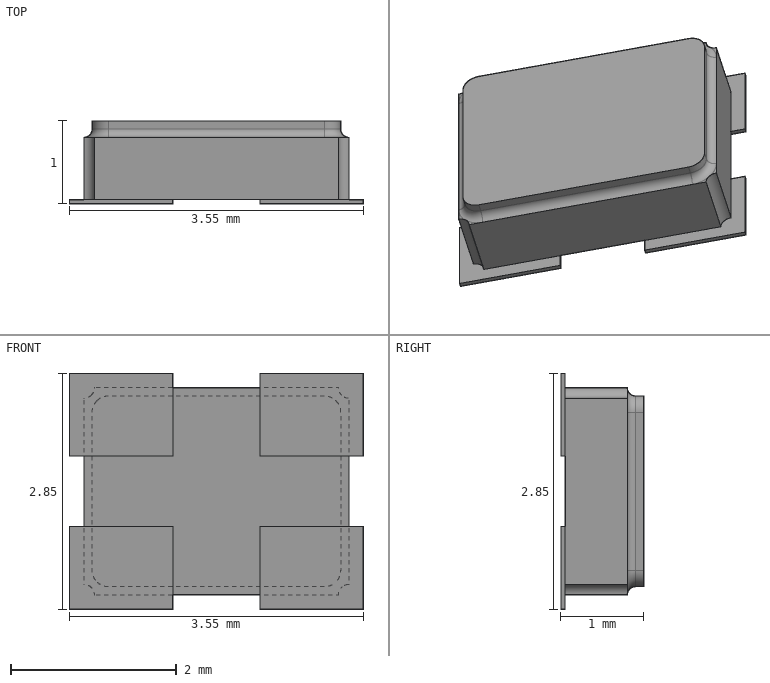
import cadquery as cq

overall_width = 3.55
overall_height = 2.85
overall_depth = 1.0

pad_width = 1.25
pad_height = 1.0
pad_thickness = 0.05
pad_overhang = 0.175

body_width = overall_width - 2 * pad_overhang
body_height = overall_height - 2 * pad_overhang
body_depth = overall_depth - pad_thickness
notch_radius = 0.128

lid_inset = 0.1
lid_wall = 0.1
cove_radius = lid_inset
lid_corner_radius = 0.2
lid_width = body_width - 2 * lid_inset
lid_height = body_height - 2 * lid_inset
base_depth = body_depth - lid_wall - cove_radius
base_margin = 0.178
foot_band = 0.005


def block(width, height, depth, start):
    """Box centred on X and Z, running from start towards +Y."""
    return cq.Workplane("XY").box(width, depth, height).translate((0, start + depth / 2, 0))


def corner_points(width, height):
    """Corners of a centred rectangle in the XZ plane."""
    return [(x * width / 2, z * height / 2) for x in (-1, 1) for z in (-1, 1)]


def make_body():
    base = block(body_width + 2 * base_margin, body_height + 2 * base_margin, base_depth, pad_thickness)
    base_top = pad_thickness + base_depth
    lid = block(lid_width, lid_height, lid_wall + cove_radius, base_top)
    lid = lid.edges("|Y").fillet(lid_corner_radius)

    foot_edges = cq.selectors.BoxSelector(
        (-body_width / 2, base_top - foot_band, -body_height / 2),
        (body_width / 2, base_top + foot_band, body_height / 2),
    )
    coved = base.union(lid).edges(foot_edges).fillet(cove_radius)

    outline = block(body_width, body_height, body_depth, pad_thickness)
    notches = (
        cq.Workplane("XZ")
        .pushPoints(corner_points(body_width, body_height))
        .circle(notch_radius)
        .extrude(-overall_depth)
    )
    return coved.intersect(outline.cut(notches))


def make_pads():
    centres = corner_points(overall_width - pad_width, overall_height - pad_height)
    return cq.Workplane("XZ").pushPoints(centres).rect(pad_width, pad_height).extrude(-pad_thickness)


result = make_body().union(make_pads())